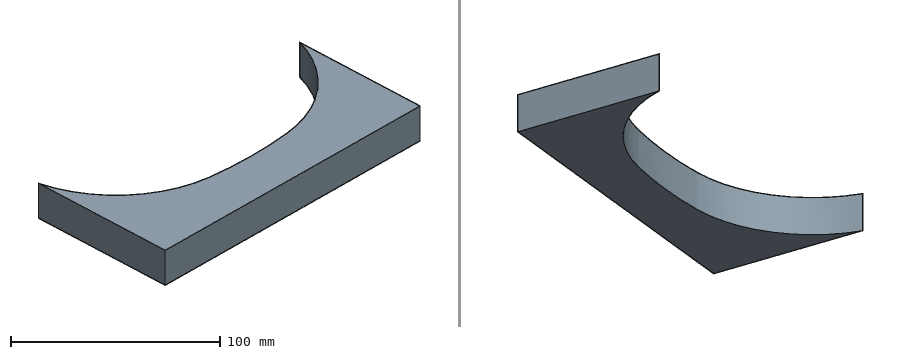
import cadquery as cq
import math

width = 84.4
length = 175.4
thickness = 20.0

web_width = 27.7
middle_arc_start = 60.9
middle_arc_end = 113.5
middle_arc_radius = 228.0
lower_arc_radius = 71.0
upper_arc_radius = 73.5
upper_tip_x = 4.2

middle_arc_sag = middle_arc_radius - math.sqrt(
    middle_arc_radius**2 - ((middle_arc_end - middle_arc_start) / 2) ** 2
)
middle_arc_x = width - web_width
junction_x = middle_arc_x - middle_arc_sag
middle_arc_y = (middle_arc_start + middle_arc_end) / 2


def arc_midpoint(start, end, radius):
    """Midpoint of the short arc that bulges to the right of the direction start to end."""
    run = end[0] - start[0]
    rise = end[1] - start[1]
    chord = math.hypot(run, rise)
    sag = radius - math.sqrt(radius**2 - (chord / 2) ** 2)
    return (
        (start[0] + end[0]) / 2 + sag * rise / chord,
        (start[1] + end[1]) / 2 - sag * run / chord,
    )


lower_tip = (0, 0)
lower_junction = (junction_x, middle_arc_start)
upper_junction = (junction_x, middle_arc_end)
upper_tip = (upper_tip_x, length)

result = (
    cq.Workplane("XY")
    .moveTo(*lower_tip)
    .threePointArc(arc_midpoint(lower_tip, lower_junction, lower_arc_radius), lower_junction)
    .threePointArc((middle_arc_x, middle_arc_y), upper_junction)
    .threePointArc(arc_midpoint(upper_junction, upper_tip, upper_arc_radius), upper_tip)
    .lineTo(width, length)
    .lineTo(width, 0)
    .close()
    .extrude(thickness)
)